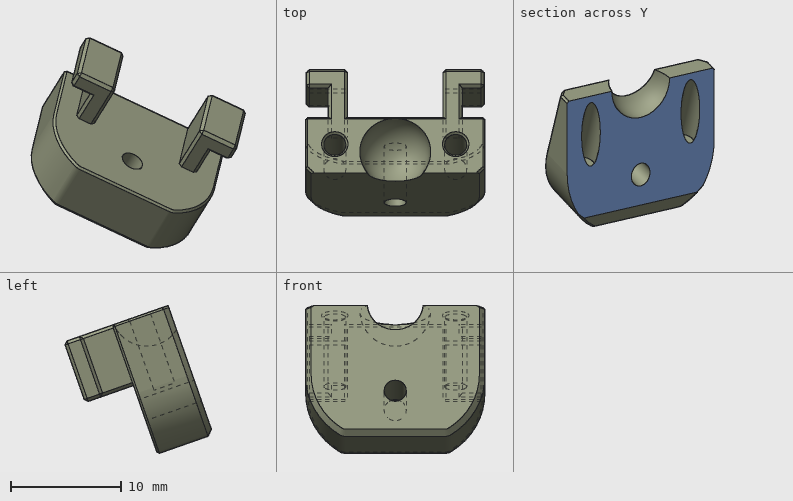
import cadquery as cq
import math

tilt_angle = 19.3

body_width = 16.3
body_height = 12.42
body_depth = 5.38
side_height = 6.62
bottom_edge_width = 9.62
bottom_corner_radius = 1.0
front_chamfer = 0.5
body_chamfer = 0.2

arm_height = 5.84
arm_reach = 10.02
arm_thickness = 1.78
arm_inner_x = 4.32
hook_outer_x = 8.1
arm_chamfer = 0.3
arm_overlap = 0.82

ball_radius = 3.23
ball_center_y = 2.0
ball_center_z = 0.2

hole_diameter = 2.0
countersink_diameter = 2.4
countersink_slope = 45.0
top_hole_x = 5.5
top_hole_y = 2.75
top_hole_depth = 6.85
front_hole_drop = 8.2


def make_body():
    """Plate with straight upper sides and rounded lower corners."""
    half_width = body_width / 2
    half_bottom = bottom_edge_width / 2
    arc_run = half_width - half_bottom
    arc_drop = body_height - side_height
    arc_radius = (arc_run**2 + arc_drop**2) / (2 * arc_run)
    half_sweep = math.asin(arc_drop / arc_radius) / 2
    middle_x = half_width - arc_radius * (1 - math.cos(half_sweep))
    middle_z = -side_height - arc_radius * math.sin(half_sweep)

    body = (
        cq.Workplane("XZ")
        .moveTo(-half_width, 0)
        .lineTo(half_width, 0)
        .lineTo(half_width, -side_height)
        .threePointArc((middle_x, middle_z), (half_bottom, -body_height))
        .lineTo(-half_bottom, -body_height)
        .threePointArc((-middle_x, middle_z), (-half_width, -side_height))
        .close()
        .extrude(-body_depth)
        .edges("|Y and <Z")
        .fillet(bottom_corner_radius)
    )
    front_top_edge = cq.selectors.BoxSelector(
        (-half_width, -body_chamfer, -body_chamfer), (half_width, body_chamfer, body_chamfer)
    )
    body = body.faces("<Y").edges(cq.selectors.InverseSelector(front_top_edge)).chamfer(front_chamfer)
    top_edges = body.faces(">Z").edges(cq.selectors.InverseSelector(front_top_edge))
    return top_edges.add(body.faces(">Y").edges()).chamfer(body_chamfer)


def make_arm():
    """Right-hand arm: a straight web with an outward hook at its end."""
    web_outer_x = arm_inner_x + arm_thickness
    root_y = body_depth - arm_overlap
    hook_front_y = arm_reach - arm_thickness
    arm = (
        cq.Workplane("XY")
        .moveTo(arm_inner_x, root_y)
        .lineTo(arm_inner_x, arm_reach)
        .lineTo(hook_outer_x, arm_reach)
        .lineTo(hook_outer_x, hook_front_y)
        .lineTo(web_outer_x, hook_front_y)
        .lineTo(web_outer_x, root_y)
        .close()
        .extrude(-arm_height)
    )
    end_corners = arm.edges("|Z").edges(">X or >Y")
    rims = arm.faces("<Z or >Z").edges("not <Y")
    return end_corners.add(rims).chamfer(arm_chamfer)


def make_top_hole(x):
    """Blind hole with a short countersink."""
    sink_depth = (countersink_diameter - hole_diameter) / 2 / math.tan(math.radians(countersink_slope))
    start = cq.Workplane("XY").center(x, top_hole_y)
    hole = start.circle(hole_diameter / 2).extrude(-top_hole_depth)
    sink = start.circle(countersink_diameter / 2).extrude(-sink_depth, taper=countersink_slope)
    return hole.union(sink)


arm = make_arm()
upright = make_body().union(arm).union(arm.mirror("YZ"))

ball = cq.Workplane("XY").sphere(ball_radius).translate((0, ball_center_y, ball_center_z))
upright = upright.cut(ball)

for hole_x in (-top_hole_x, top_hole_x):
    upright = upright.cut(make_top_hole(hole_x))

front_hole = cq.Workplane("XZ").center(0, -front_hole_drop).circle(hole_diameter / 2).extrude(-body_depth)
upright = upright.cut(front_hole)

result = upright.rotate((0, 0, 0), (1, 0, 0), -tilt_angle)